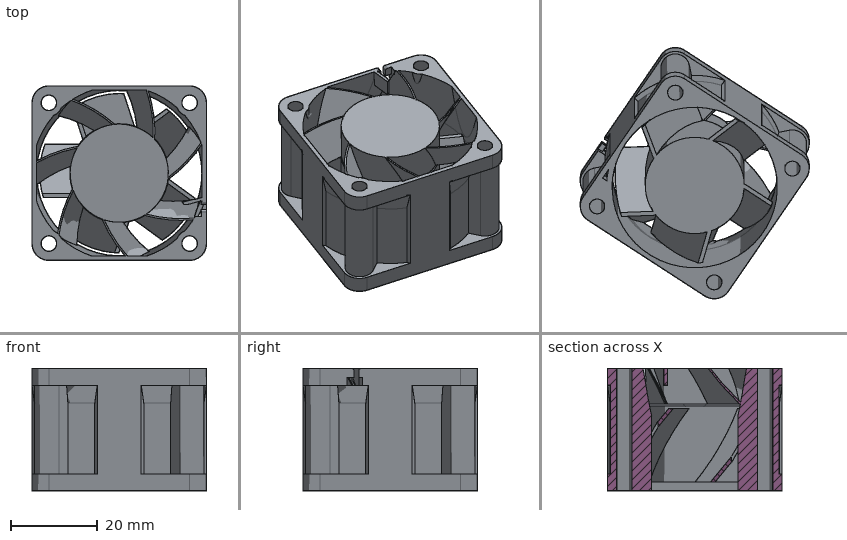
import cadquery as cq
import math

side = 40.2
height = 28.2
half_side = side / 2
hole_offset = 16.2
hole_diameter = 3.5
flange_thickness = 3.9
flange_corner_radius = half_side - hole_offset

waist_bottom = flange_thickness
waist_top = height - flange_thickness
post_radius = 3.3
waist_chamfer = 15.05
barrel_radius = 20.3
barrel_flare_start = 20.2

throat_radius = 19.0
mouth_radius = 20.1
mouth_flare_start = 17.2
mouth_half_width = 19.1
hole_sleeve_radius = 3.1
flare_slope = (mouth_radius - throat_radius) / (height - mouth_flare_start)

hub_radius = 11.3
hub_bottom = 20.0
vane_count = 7
vane_thickness = 0.4
vane_top_angles = (147, 160.5, 172)
vane_bottom_angles = (169.8, 178.5, 187.2)
vane_radii = (hub_radius, 15.0, 19.1)
vane_root_overlap = 0.8
vane_tip_overlap = 2.5

pocket_x_max = 18.86
pocket_y_min = -9.93
pocket_y_max = -6.38
cable_neck_width = 1.11
cable_neck_y = -7.8
cable_lip_height = 2.1
cable_lip_rounding = 0.55
cable_wall_outline = [
    (14.5, -6.68), (14.87, -7.19), (15.8, -7.19), (18.86, -6.38), (19.4, -6.38), (19.4, -5.5),
]

blade_count = 5
rotor_hub_radius = 11.4
rotor_bottom = 2.0
rotor_top = 19.5
blade_tip_radius = 18.35
blade_bottom = rotor_bottom
blade_top = 19.0
blade_low_edge_y = 6.67
blade_high_edge_y = -5.6
blade_width = 0.95


def cylinder(radius, bottom, top):
    return cq.Workplane("XY").workplane(offset=bottom).circle(radius).extrude(top - bottom)


def block(x_min, x_max, y_min, y_max, bottom, top):
    return cq.Workplane("XY").box(
        x_max - x_min, y_max - y_min, top - bottom, centered=False
    ).translate((x_min, y_min, bottom))


def at_corners(radius, bottom, top):
    return (
        cq.Workplane("XY").workplane(offset=bottom)
        .rect(2 * hole_offset, 2 * hole_offset, forConstruction=True)
        .vertices().circle(radius).extrude(top - bottom)
    )


def flange(bottom):
    plate = cq.Workplane("XY").workplane(offset=bottom).rect(side, side).extrude(flange_thickness)
    return plate.edges("|Z").fillet(flange_corner_radius)


def barrel():
    """Round duct wall, flaring outwards near the top and trimmed by the frame sides."""
    flared_radius = barrel_radius + flare_slope * (waist_top - barrel_flare_start)
    profile = [
        (0, waist_bottom), (barrel_radius, waist_bottom), (barrel_radius, barrel_flare_start),
        (flared_radius, waist_top), (0, waist_top),
    ]
    turned = cq.Workplane("XZ").polyline(profile).close().revolve(360, (0, 0, 0), (0, 1, 0))
    return turned.intersect(block(-half_side, half_side, -half_side, half_side, 0, height))


def waist():
    """Chamfered core, barrel, four corner posts and the diagonal webs behind them."""
    waist_height = waist_top - waist_bottom
    core = cq.Workplane("XY").workplane(offset=waist_bottom).rect(side, side).extrude(waist_height)
    core = core.edges("|Z").chamfer(waist_chamfer)
    web_length = 2 * math.hypot(hole_offset, hole_offset)
    body = core.union(barrel()).union(at_corners(post_radius, waist_bottom, waist_top))
    for angle in (45, 135):
        web = (
            cq.Workplane("XY").workplane(offset=waist_bottom).transformed(rotate=(0, 0, angle))
            .rect(web_length, 2 * post_radius).extrude(waist_height)
        )
        body = body.union(web)
    return body


def duct():
    """Air passage: round throat, flared mouth with flat sides, notched by the hole sleeves."""
    profile = [
        (0, 0), (throat_radius, 0), (throat_radius, mouth_flare_start), (mouth_radius, height), (0, height),
    ]
    passage = cq.Workplane("XZ").polyline(profile).close().revolve(360, (0, 0, 0), (0, 1, 0))
    flats = block(-mouth_half_width, mouth_half_width, -mouth_half_width, mouth_half_width, 0, height)
    return passage.intersect(flats).cut(at_corners(hole_sleeve_radius, 0, height))


def cable_pocket(bottom, top):
    return block(hub_radius, pocket_x_max, pocket_y_min, pocket_y_max, bottom, top)


def lower_cable_hole():
    """Opening in the bottom flange under the pocket, outside the round duct wall."""
    return cable_pocket(0, flange_thickness).cut(cylinder(barrel_radius, 0, flange_thickness))


def cable_slot():
    """Wire window through the top flange, narrowed at its top by two lips with rounded upper edges."""
    half_neck = cable_neck_width / 2
    half_mouth = half_neck + cable_lip_rounding
    arc_bottom = height - cable_lip_rounding
    arc_inset = cable_lip_rounding * (1 - math.sqrt(0.5))
    half_middle = half_neck + arc_inset
    lip_bottom = height - cable_lip_height
    window = block(pocket_x_max, half_side, pocket_y_min, pocket_y_max, waist_top, lip_bottom)
    neck = (
        cq.Workplane("YZ").moveTo(half_neck, waist_top).lineTo(half_neck, arc_bottom)
        .threePointArc((half_middle, height - arc_inset), (half_mouth, height))
        .lineTo(-half_mouth, height)
        .threePointArc((-half_middle, height - arc_inset), (-half_neck, arc_bottom))
        .lineTo(-half_neck, waist_top).close().extrude(half_side - pocket_x_max)
        .translate((pocket_x_max, cable_neck_y, 0))
    )
    return window.union(neck)


def vane_section(angles, z):
    """Thin curved strip from inside the hub to beyond the duct wall, at one height."""
    points = [
        cq.Vector(r * math.cos(math.radians(a)), r * math.sin(math.radians(a)), z)
        for r, a in zip(vane_radii, angles)
    ]
    root_point, middle_point, tip_point = points
    root = root_point + (root_point - middle_point).normalized() * vane_root_overlap
    tip = tip_point + (tip_point - middle_point).normalized() * vane_tip_overlap
    chord = (tip - root).normalized()
    across = cq.Vector(-chord.y, chord.x, 0) * vane_thickness
    return cq.Wire.assembleEdges([
        cq.Edge.makeThreePointArc(root, middle_point, tip),
        cq.Edge.makeLine(tip, tip + across),
        cq.Edge.makeThreePointArc(tip + across, middle_point + across, root + across),
        cq.Edge.makeLine(root + across, root),
    ])


def vane():
    sections = [vane_section(vane_bottom_angles, hub_bottom), vane_section(vane_top_angles, height)]
    return cq.Workplane(cq.Solid.makeLoft(sections, True))


def make_housing():
    passage = duct()
    body = flange(0).union(waist()).union(flange(waist_top))
    body = body.cut(passage).cut(at_corners(hole_diameter / 2, 0, height))
    body = body.cut(cable_pocket(waist_top, height)).cut(cable_slot()).cut(lower_cable_hole())
    cable_wall = (
        cq.Workplane("XY").workplane(offset=waist_top)
        .polyline(cable_wall_outline).close().extrude(flange_thickness)
    )
    body = body.union(cable_wall).union(cylinder(hub_radius, hub_bottom, height))
    blank = vane()
    for index in range(vane_count):
        turned = blank.rotate((0, 0, 0), (0, 0, 1), index * 360 / vane_count)
        body = body.union(turned.intersect(passage))
    return body


def blade():
    """Flat inclined plate with level top and bottom edges and a round tip."""
    profile = [
        (blade_high_edge_y, blade_top), (blade_high_edge_y + blade_width, blade_top),
        (blade_low_edge_y, blade_bottom), (blade_low_edge_y - blade_width, blade_bottom),
    ]
    plate = cq.Workplane("YZ").polyline(profile).close().extrude(-throat_radius)
    return plate.intersect(cylinder(blade_tip_radius, blade_bottom, blade_top))


def make_rotor():
    body = cylinder(rotor_hub_radius, rotor_bottom, rotor_top)
    blank = blade()
    for index in range(blade_count):
        body = body.union(blank.rotate((0, 0, 0), (0, 0, 1), index * 360 / blade_count))
    return body


housing = make_housing()
rotor = make_rotor()
result = cq.Compound.makeCompound([housing.val(), rotor.val()])